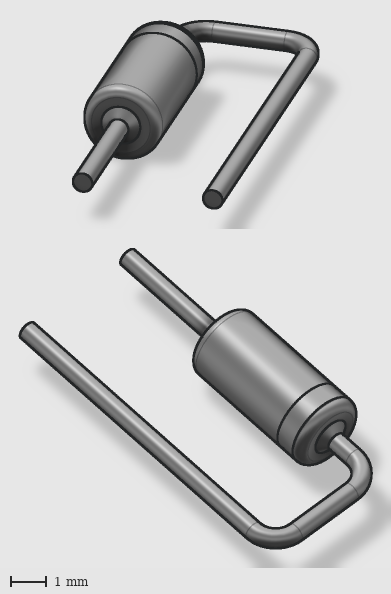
import cadquery as cq

total_length = 10.57
top_y = total_length / 2
lead_end_y = -total_length / 2

lead_diameter = 0.57
lead_radius = lead_diameter / 2
lead_pitch = 3.8
bend_radius = 0.85

housing_diameter = 2.28
housing_radius = housing_diameter / 2
housing_length = 4.65
housing_top_y = top_y - 2.1
housing_bottom_y = housing_top_y - housing_length
edge_fillet = 0.29
collar_length = 0.22
collar_base_radius = lead_diameter

band_width = 0.63
band_depth = 0.05
band_top_y = housing_top_y - 0.33
band_bottom_y = band_top_y - band_width

upper_joint_y = housing_top_y + collar_length
lower_joint_y = housing_bottom_y - collar_length


def cylinder_along_y(radius, from_y, to_y):
    """Cylinder on the Y axis between two Y positions."""
    start = cq.Plane(origin=(0, from_y, 0), xDir=(1, 0, 0), normal=(0, 1, 0))
    return cq.Workplane(start).circle(radius).extrude(to_y - from_y)


def make_band():
    """Thin ring whose outer face is flush with the housing."""
    outer = cylinder_along_y(housing_radius, band_bottom_y, band_top_y)
    core = cylinder_along_y(housing_radius - band_depth, band_bottom_y, band_top_y)
    return outer.cut(core)


def make_housing(band):
    """Rounded cylinder with a conical collar at each end and a groove for the band."""
    barrel = cylinder_along_y(housing_radius, housing_bottom_y, housing_top_y).edges().fillet(edge_fillet)
    collars = (
        cq.Workplane("XY")
        .moveTo(0, lower_joint_y)
        .lineTo(lead_radius, lower_joint_y)
        .lineTo(collar_base_radius, housing_bottom_y)
        .lineTo(collar_base_radius, housing_top_y)
        .lineTo(lead_radius, upper_joint_y)
        .lineTo(0, upper_joint_y)
        .close()
        .revolve(360, (0, 0, 0), (0, 1, 0))
    )
    return barrel.union(collars).cut(band)


def make_straight_lead():
    """Lead running straight down from the lower collar."""
    return cylinder_along_y(lead_radius, lead_end_y, lower_joint_y)


def make_bent_lead():
    """Lead rising from the upper collar, turning twice and running back beside the housing."""
    crossbar_y = top_y - lead_radius
    bend_start_y = crossbar_y - bend_radius
    path = (
        cq.Workplane("XY")
        .moveTo(0, upper_joint_y)
        .lineTo(0, bend_start_y)
        .radiusArc((bend_radius, crossbar_y), bend_radius)
        .lineTo(lead_pitch - bend_radius, crossbar_y)
        .radiusArc((lead_pitch, bend_start_y), bend_radius)
        .lineTo(lead_pitch, lead_end_y)
    )
    start = cq.Plane(origin=(0, upper_joint_y, 0), xDir=(1, 0, 0), normal=(0, 1, 0))
    return cq.Workplane(start).circle(lead_radius).sweep(path)


band = make_band()
housing = make_housing(band)
straight_lead = make_straight_lead()
bent_lead = make_bent_lead()

result = cq.Compound.makeCompound([housing.val(), band.val(), straight_lead.val(), bent_lead.val()])